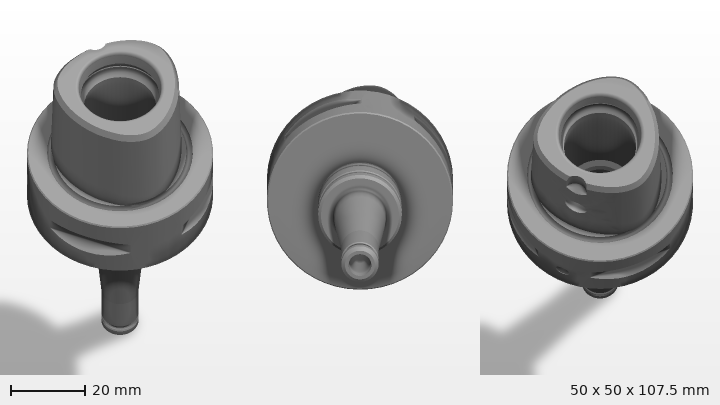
import cadquery as cq
import math

total_height = 107.5
flange_top = 77.5
flange_height = 20.0
flange_bottom = flange_top - flange_height
flange_radius = 50.0 / 2
flange_chamfer = 0.3

lobe_mean_radius = 17.5
lobe_offset = 1.1
lobe_half_angle = math.radians(27.5)
radius_taper = 1 / 40
coupling_base = 79.9
coupling_chamfer_height = 1.6
coupling_chamfer_inset = 1.1

relief_inner_radius = 17.8
relief_outer_radius = 19.6
relief_wall_top = 78.5

collar_radius = 22.5 / 2
collar_groove_root_radius = 10.9
collar_groove_sag = 0.1
collar_bottom = 44.5
collar_chamfer = 0.8
flange_groove_bottom = 56.1
upper_groove_bottom = 53.5
upper_groove_top = 55.4
lower_groove_bottom = 47.3
lower_groove_top = 49.2
groove_lip = 0.3
wide_groove_lip = 0.6

nose_fillet = 0.9
cone_top_radius = 14.4 / 2
shank_radius = 10.0 / 2
shank_top = 15.0
shank_bottom = 4.5
tip_neck_radius = 8.0 / 2
shank_chamfer = 0.3
tip_disc_top = 2.9
tip_chamfer = 1.0
tip_upper_chamfer = 0.3

mouth_radius = 24.0 / 2
mouth_rounding = 1.0
throat_top_radius = mouth_radius - mouth_rounding
throat_bottom_radius = 21.0 / 2
throat_end = 3.9
clamp_groove_radius = 11.3
clamp_groove_end = 7.0
ring_groove_radius = 11.6
ring_groove_start = 5.4
ring_groove_end = 6.5
seat_radius = 10.8
seat_depth = 8.2
seat_rounding = 1.3
main_bore_radius = 9.7
main_bore_start = 9.0
main_bore_floor = 64.5
inner_bore_radius = 14.4 / 2
inner_bore_chamfer = 0.8
inner_bore_floor = 53.8
channel_radius = 6.1 / 2
drill_half_angle = math.radians(59)

slot_height = (flange_top + flange_bottom) / 2
slot_floor_distance = 22.1
slot_floor_half_height = 1.8
slot_side_angle = math.radians(30)
slot_corner_radius = 0.3

coupling_drill_radius = 6.3 / 2
coupling_drill_height = 91.5
coupling_drill_floor_x = -12.0
notch_axis_x = -16.8
notch_depth = 5.5
flange_drill_radius = 4.0 / 2
flange_drill_height = 65.7
flange_drill_floor_x = -24.8


def lobe_curve(mean_radius, angle):
    """Point of a three-lobed constant-width curve with the given normal direction."""
    support = mean_radius + lobe_offset * math.cos(3 * angle)
    slope = -3 * lobe_offset * math.sin(3 * angle)
    x = support * math.cos(angle) - slope * math.sin(angle)
    y = support * math.sin(angle) + slope * math.cos(angle)
    return cq.Vector(x, y, 0)


def lobe_span(mean_radius, z, start, end):
    """Smooth edge along the lobe curve between two normal directions."""
    steps = 6
    angles = [start + (end - start) * step / steps for step in range(steps + 1)]
    points = [lobe_curve(mean_radius, angle) + cq.Vector(0, 0, z) for angle in angles]
    tangents = [cq.Vector(-math.sin(angle), math.cos(angle), 0) for angle in (start, end)]
    return cq.Edge.makeSpline(points, tangents=tangents)


def lobe_wire(mean_radius, z):
    """Closed outline of three lobes joined by three flatter sides."""
    pitch = 2 * math.pi / 3
    edges = []
    for lobe in range(3):
        lobe_start = lobe * pitch - lobe_half_angle
        lobe_end = lobe * pitch + lobe_half_angle
        edges.append(lobe_span(mean_radius, z, lobe_start, lobe_end))
        edges.append(lobe_span(mean_radius, z, lobe_end, lobe_start + pitch))
    return cq.Wire.assembleEdges(edges)


def lobe_solid(bottom_radius, bottom_z, top_radius, top_z):
    wires = [lobe_wire(bottom_radius, bottom_z), lobe_wire(top_radius, top_z)]
    return cq.Workplane(cq.Solid.makeLoft(wires, True))


def revolved(outline):
    """Solid of revolution about Z from a (radius, height) outline, closed here."""
    return outline.close().revolve(360, (0, 0, 0), (0, 1, 0))


def cylinder(radius, bottom, top):
    return cq.Workplane("XY", origin=(0, 0, bottom)).circle(radius).extrude(top - bottom)


def drill(radius, length):
    """Drill along +Z whose full diameter ends at z = 0 with a conical point below."""
    point = radius / math.tan(drill_half_angle)
    profile = [(0, -point), (radius, 0), (radius, length), (0, length)]
    return revolved(cq.Workplane("XZ").polyline(profile))


def coupling():
    chamfer_z = total_height - coupling_chamfer_height
    shoulder_radius = lobe_mean_radius - radius_taper * (chamfer_z - coupling_base)
    taper = lobe_solid(lobe_mean_radius, coupling_base, shoulder_radius, chamfer_z)
    rim = lobe_solid(shoulder_radius, chamfer_z, shoulder_radius - coupling_chamfer_inset, total_height)
    neck = lobe_solid(lobe_mean_radius, flange_top, lobe_mean_radius, coupling_base)
    return taper.union(rim).union(neck)


def flange():
    return cylinder(flange_radius, flange_bottom, flange_top).edges().chamfer(flange_chamfer)


def relief_groove():
    """Ring cut that rounds into the flange top and undercuts the lobes on a 45 degree ramp."""
    width = relief_outer_radius - relief_inner_radius
    return revolved(
        cq.Workplane("XZ")
        .moveTo(relief_inner_radius, flange_top)
        .threePointArc(
            (relief_inner_radius + width / 2, flange_top - width / 2),
            (relief_outer_radius, flange_top),
        )
        .lineTo(relief_outer_radius, relief_wall_top + width)
        .lineTo(relief_inner_radius, relief_wall_top)
    )


def collar_groove(bottom, top, lower_lip, upper_lip):
    """Shallow ring cut with sloping lips and a hollow root."""
    lip_radius = collar_groove_root_radius + collar_groove_sag
    return revolved(
        cq.Workplane("XZ")
        .moveTo(collar_radius, bottom)
        .lineTo(lip_radius, bottom + lower_lip)
        .threePointArc(
            (collar_groove_root_radius, (bottom + lower_lip + top - upper_lip) / 2),
            (lip_radius, top - upper_lip),
        )
        .lineTo(collar_radius, top)
    )


def collar():
    body = cylinder(collar_radius, collar_bottom, flange_bottom).faces("<Z").edges().chamfer(collar_chamfer)
    body = body.cut(collar_groove(flange_groove_bottom, flange_bottom, groove_lip, 0))
    body = body.cut(collar_groove(upper_groove_bottom, upper_groove_top, groove_lip, groove_lip))
    return body.cut(collar_groove(lower_groove_bottom, lower_groove_top, wide_groove_lip, groove_lip))


def nose():
    cone_top = collar_bottom - nose_fillet
    return revolved(
        cq.Workplane("XZ")
        .moveTo(0, 0)
        .lineTo(shank_radius - tip_chamfer, 0)
        .lineTo(shank_radius, tip_chamfer)
        .lineTo(shank_radius, tip_disc_top - tip_upper_chamfer)
        .lineTo(shank_radius - tip_upper_chamfer, tip_disc_top)
        .lineTo(tip_neck_radius, tip_disc_top)
        .lineTo(tip_neck_radius, shank_bottom)
        .lineTo(shank_radius - shank_chamfer, shank_bottom)
        .lineTo(shank_radius, shank_bottom + shank_chamfer)
        .lineTo(shank_radius, shank_top)
        .lineTo(cone_top_radius, cone_top)
        .radiusArc((cone_top_radius + nose_fillet, collar_bottom), nose_fillet)
        .lineTo(0, collar_bottom)
    )


def bore():
    channel_start = inner_bore_floor - (inner_bore_radius - channel_radius) / math.tan(drill_half_angle)
    clamp_cavity = [
        (throat_bottom_radius, total_height - throat_end),
        (clamp_groove_radius, total_height - throat_end),
        (clamp_groove_radius, total_height - ring_groove_start),
        (ring_groove_radius, total_height - ring_groove_start),
        (ring_groove_radius, total_height - ring_groove_end),
        (clamp_groove_radius, total_height - ring_groove_end),
        (clamp_groove_radius, total_height - clamp_groove_end),
    ]
    stepped_bore = [
        (main_bore_radius, total_height - main_bore_start),
        (main_bore_radius, main_bore_floor),
        (inner_bore_radius + inner_bore_chamfer, main_bore_floor),
        (inner_bore_radius, main_bore_floor - inner_bore_chamfer),
        (inner_bore_radius, inner_bore_floor),
        (channel_radius, channel_start),
        (channel_radius, 0),
        (0, 0),
    ]
    outline = (
        cq.Workplane("XZ")
        .moveTo(0, total_height)
        .lineTo(mouth_radius, total_height)
        .radiusArc((throat_top_radius, total_height - mouth_rounding), -mouth_rounding)
    )
    for point in clamp_cavity:
        outline = outline.lineTo(*point)
    outline = outline.radiusArc((seat_radius, total_height - seat_depth), seat_rounding)
    for point in stepped_bore:
        outline = outline.lineTo(*point)
    return revolved(outline)


def gripper_slot(angle):
    """Straight slot with a flat floor and flared sides, facing the given direction."""
    depth = flange_radius - slot_floor_distance
    mouth_half_height = slot_floor_half_height + depth * math.tan(slot_side_angle)
    profile = [
        (slot_floor_distance, slot_height - slot_floor_half_height),
        (flange_radius, slot_height - mouth_half_height),
        (flange_radius, slot_height + mouth_half_height),
        (slot_floor_distance, slot_height + slot_floor_half_height),
    ]
    slot = cq.Workplane("XZ").polyline(profile).close().extrude(flange_radius, both=True)
    slot = slot.edges("|Y").edges("<X").fillet(slot_corner_radius)
    return slot.rotate((0, 0, 0), (0, 0, 1), angle)


def side_drill(radius, floor_x, height):
    return drill(radius, flange_radius).rotate((0, 0, 0), (0, 1, 0), -90).translate((floor_x, 0, height))


def notch():
    cutter = drill(coupling_drill_radius, 2 * notch_depth)
    return cutter.translate((notch_axis_x, 0, total_height - notch_depth))


result = coupling().union(flange()).union(collar()).union(nose())
result = result.cut(relief_groove()).cut(bore()).cut(notch())
for slot_angle in (45, 135, 225, 315):
    result = result.cut(gripper_slot(slot_angle))
result = result.cut(side_drill(coupling_drill_radius, coupling_drill_floor_x, coupling_drill_height))
result = result.cut(side_drill(flange_drill_radius, flange_drill_floor_x, flange_drill_height))